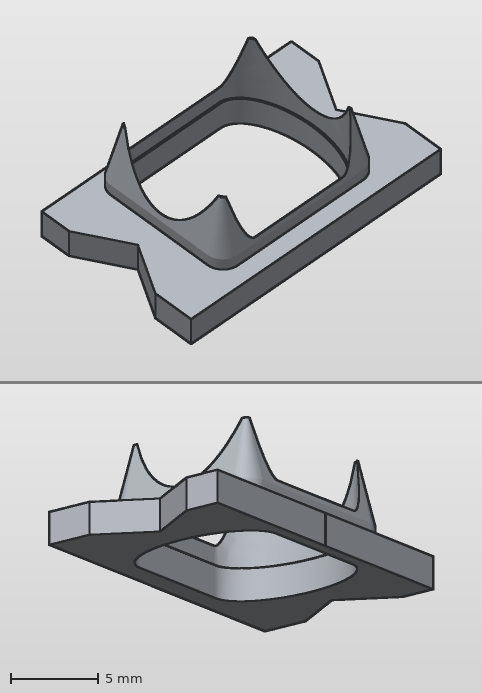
import cadquery as cq
import math

plate_left = -5.81
plate_right = 6.5
plate_length = 19.99
plate_thickness = 2.0

notch_slope = math.radians(30)
end_notch_half_width = 3.55
side_nick_half_width = 0.04

frame_width = 10.4
frame_length = 12.43
frame_corner_radius = 1.2
collar_height = 0.8
tip_height = 4.0
tip_corner_radius = 0.2

opening_half_width = 5.0
opening_half_length = 6.0
opening_end_rise = 2.5
frame_opening_clearance = 0.1


def make_plate():
    width = plate_right - plate_left
    middle_x = (plate_left + plate_right) / 2
    return (
        cq.Workplane("XY")
        .center(middle_x, 0)
        .rect(width, plate_length)
        .extrude(plate_thickness)
    )


def v_notch(edge_x, edge_y, inward_angle, half_width):
    """Triangular cutter whose mouth is centred on an edge point and whose apex points inward."""
    depth = half_width * math.tan(notch_slope)
    return (
        cq.Workplane("XY")
        .polyline([(0, -half_width), (depth, 0), (0, half_width)])
        .close()
        .extrude(plate_thickness)
        .rotate((0, 0, 0), (0, 0, 1), inward_angle)
        .translate((edge_x, edge_y, 0))
    )


def make_frame():
    collar_top = plate_thickness + collar_height
    lean = math.degrees(math.atan2(frame_corner_radius - tip_corner_radius, tip_height))
    collar = (
        cq.Workplane("XY", origin=(0, 0, plate_thickness))
        .rect(frame_width, frame_length)
        .extrude(collar_height)
        .edges("|Z")
        .fillet(frame_corner_radius)
    )
    outline = cq.Sketch().rect(frame_width, frame_length).vertices().fillet(frame_corner_radius)
    leaning_walls = (
        cq.Workplane("XY", origin=(0, 0, collar_top))
        .placeSketch(outline)
        .extrude(tip_height, taper=lean)
    )
    return collar.union(leaning_walls)


def make_opening(clearance, bottom, height):
    """Prism of the opening, enlarged all round by the clearance."""
    half_width = opening_half_width + clearance
    end_rise = opening_end_rise + clearance
    straight_half = opening_half_length - opening_end_rise
    prism = (
        cq.Workplane("XY", origin=(0, 0, bottom))
        .rect(2 * half_width, 2 * straight_half)
        .extrude(height)
    )
    for end in (-1, 1):
        rounded_end = (
            cq.Workplane("XY", origin=(0, end * straight_half, bottom))
            .ellipse(half_width, end_rise)
            .extrude(height)
        )
        prism = prism.union(rounded_end)
    return prism


plate = make_plate().cut(make_opening(0, 0, plate_thickness))
for end in (-1, 1):
    plate = plate.cut(v_notch(0, end * plate_length / 2, -end * 90, end_notch_half_width))
plate = plate.cut(v_notch(plate_left, 0, 0, side_nick_half_width))

frame = make_frame().cut(
    make_opening(frame_opening_clearance, plate_thickness, collar_height + tip_height)
)

result = plate.union(frame)